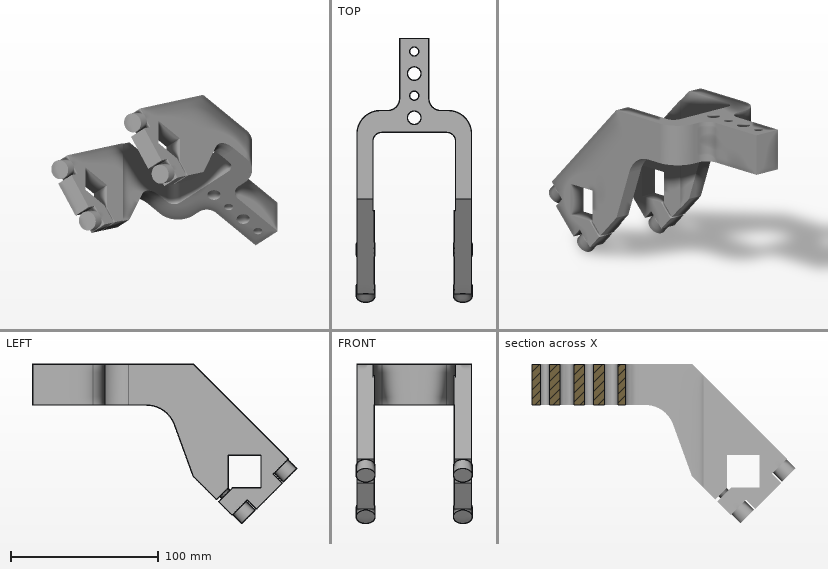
import cadquery as cq
import math


fork_height = 28.0
tail_width = 20.0
crossbar_back = 49.0
crossbar_front = 64.0
tail_fillet = 8.0
outer_corner_radius = 16.0
inner_corner_radius = 6.0

first_hole_distance = 9.0
hole_pitch = 15.0
hole_diameters = (6.0, 9.0, 6.0, 9.0)

arm_outer_x = 39.0
arm_inner_x = 28.0
arm_thick_inner_x = 27.0
thick_start = 117.0
arm_slope = 45.0
underside_corner = 91.4
underside_slope = 70.0
underside_radius = 20.0

bore_size = 22.0
bore_distance = 144.0
bore_drop = 73.0
clamp_width = 54.0
clamp_end = 23.7
slit_width = 2.0

screw_spacing = 40.0
screw_diameter = 8.0
head_diameter = 13.0
slot_floor = 15.0
head_length = 8.6
head_clearance = 1.0
screw_x = (arm_outer_x + arm_thick_inner_x) / 2

slope_sin = math.sin(math.radians(arm_slope))
slope_cos = math.cos(math.radians(arm_slope))


def clamp_point(along, across):
    """(Y, Z) of a point given along the arm slope and across it (positive upwards) from the bore centre."""
    y = -bore_distance - along * slope_cos - across * slope_sin
    z = -bore_drop - along * slope_sin + across * slope_cos
    return y, z


def clamp_block(along_start, along_end, across_start, across_end):
    """Block parallel to the arm slope, running through both arms."""
    corners = [
        clamp_point(along_start, across_start),
        clamp_point(along_end, across_start),
        clamp_point(along_end, across_end),
        clamp_point(along_start, across_end),
    ]
    return cq.Workplane("YZ").polyline(corners).close().extrude(arm_outer_x, both=True)


def make_side_profile():
    """Side outline of tail, arms and clamp, extruded across the whole fork."""
    upper_end = clamp_point(clamp_end, clamp_width / 2)
    lower_end = clamp_point(clamp_end, -clamp_width / 2)
    slope_start = upper_end[0] - upper_end[1] * slope_cos / slope_sin

    steep = math.tan(math.radians(underside_slope))
    shallow = slope_sin / slope_cos
    edge_offset = lower_end[1] - shallow * lower_end[0]
    knee_y = (edge_offset + fork_height - steep * underside_corner) / (steep - shallow)
    knee_z = lower_end[1] + shallow * (knee_y - lower_end[0])

    turn = math.radians(underside_slope)
    arc_start_y = -underside_corner + underside_radius * math.tan(turn / 2)
    arc_centre_z = -fork_height - underside_radius

    def arc_point(angle):
        y = arc_start_y - underside_radius * math.sin(angle)
        z = arc_centre_z + underside_radius * math.cos(angle)
        return y, z

    return (
        cq.Workplane("YZ")
        .moveTo(0, 0)
        .lineTo(slope_start, 0)
        .lineTo(*upper_end)
        .lineTo(*lower_end)
        .lineTo(knee_y, knee_z)
        .lineTo(*arc_point(turn))
        .threePointArc(arc_point(turn / 2), arc_point(0))
        .lineTo(0, -fork_height)
        .close()
        .extrude(arm_outer_x, both=True)
    )


def make_plan():
    """Plan outline of the fork, extruded over the full height."""
    far_end = bore_distance + clamp_width
    depth = bore_drop + clamp_width

    def plate(width, start, end):
        return (
            cq.Workplane("XY")
            .rect(width, end - start)
            .extrude(-depth)
            .translate((0, -(start + end) / 2, 0))
        )

    body = plate(2 * arm_outer_x, crossbar_back, far_end).edges("|Z and >Y").fillet(outer_corner_radius)
    body = body.union(plate(tail_width, 0, crossbar_front))
    select_margin = tail_fillet / 2
    tail_corners = cq.selectors.BoxSelector(
        (-tail_width, -crossbar_back - select_margin, -depth),
        (tail_width, -crossbar_back + select_margin, 0),
    )
    body = body.edges("|Z").edges(tail_corners).fillet(tail_fillet)
    gap = plate(2 * arm_inner_x, crossbar_front, far_end).edges("|Z and >Y").fillet(inner_corner_radius)
    thickening = plate(2 * arm_outer_x, thick_start, far_end).cut(
        plate(2 * arm_thick_inner_x, thick_start, far_end)
    )
    return body.cut(gap).union(thickening)


def cut_tail_holes(body):
    for index, diameter in enumerate(hole_diameters):
        y = -(first_hole_distance + index * hole_pitch)
        hole = cq.Workplane("XY").center(0, y).circle(diameter / 2).extrude(-fork_height)
        body = body.cut(hole)
    return body


def cut_clamps(body):
    """Square bore, clamping slit and the two screw head slots, through both arms."""
    bore = (
        cq.Workplane("YZ")
        .center(-bore_distance, -bore_drop)
        .rect(bore_size, bore_size)
        .extrude(arm_outer_x, both=True)
    )
    slit = clamp_block(0, slit_width, -clamp_width, -bore_size / 2)
    body = body.cut(bore).cut(slit)
    slot_inner = screw_spacing / 2 - head_diameter / 2 - head_clearance
    for side in (-1, 1):
        slot = clamp_block(slot_floor, clamp_end, side * slot_inner, side * clamp_width)
        body = body.cut(slot)
    return body


def make_screw(x, across):
    """Cap screw with its head in the slot at the clamp end and its shank crossing the slit."""

    def cylinder(diameter, start, end):
        y, z = clamp_point(start, across)
        direction = cq.Vector(0, -slope_cos, -slope_sin)
        return cq.Solid.makeCylinder(diameter / 2, end - start, cq.Vector(x, y, z), direction)

    head = cylinder(head_diameter, slot_floor, slot_floor + head_length)
    shank = cylinder(screw_diameter, 0, slot_floor)
    return cq.Workplane(head).union(cq.Workplane(shank))


def add_screws(body):
    for x in (-screw_x, screw_x):
        for across in (-screw_spacing / 2, screw_spacing / 2):
            body = body.union(make_screw(x, across))
    return body


result = make_side_profile().intersect(make_plan())
result = cut_tail_holes(result)
result = cut_clamps(result)
result = add_screws(result)